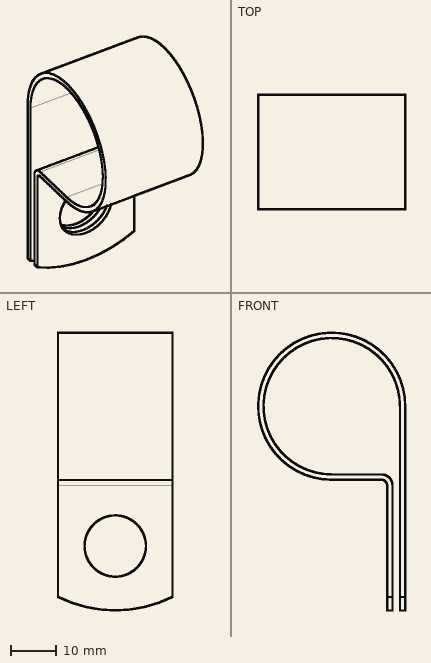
import cadquery as cq
import math

height = 61.5
width = 25.4
loop_radius = 16.3
thickness = 1.2
leg_gap = 1.6
bend_radius = 2.45
hole_diameter = 13.55
hole_height = 14.3
tip_rise = 3.0
clearance = 3.1

inner_radius = loop_radius - thickness
inner_bend = bend_radius - thickness
tip_z = loop_radius - height
leg_outer_x = inner_radius - leg_gap
leg_inner_x = leg_outer_x - thickness
bend_x = leg_outer_x - bend_radius
bend_z = -inner_radius - bend_radius


def bent_strip():
    """Strip profile: straight leg, three-quarter loop, shelf and bent leg."""
    diagonal = math.sqrt(0.5)
    profile = (
        cq.Workplane("XZ", origin=(0, width / 2, 0))
        .moveTo(loop_radius, tip_z)
        .lineTo(loop_radius, 0)
        .threePointArc((-loop_radius * diagonal, loop_radius * diagonal), (0, -loop_radius))
        .lineTo(bend_x, -loop_radius)
        .radiusArc((leg_inner_x, bend_z), inner_bend)
        .lineTo(leg_inner_x, tip_z)
        .lineTo(leg_outer_x, tip_z)
        .lineTo(leg_outer_x, bend_z)
        .radiusArc((bend_x, -inner_radius), -bend_radius)
        .lineTo(0, -inner_radius)
        .threePointArc((-inner_radius * diagonal, inner_radius * diagonal), (inner_radius, 0))
        .lineTo(inner_radius, tip_z)
        .close()
    )
    return profile.extrude(width)


def rounded_end_envelope():
    """Block as wide as the strip whose lower end is a shallow arc."""
    half_width = width / 2
    reach = loop_radius + clearance
    return (
        cq.Workplane("YZ")
        .moveTo(-half_width, reach)
        .lineTo(-half_width, tip_z + tip_rise)
        .threePointArc((0, tip_z), (half_width, tip_z + tip_rise))
        .lineTo(half_width, reach)
        .close()
        .extrude(reach, both=True)
    )


def bolt_hole():
    """Cylinder along X that passes through both legs."""
    return (
        cq.Workplane("YZ")
        .center(0, tip_z + hole_height)
        .circle(hole_diameter / 2)
        .extrude(loop_radius + clearance)
    )


result = bent_strip().intersect(rounded_end_envelope()).cut(bolt_hole())